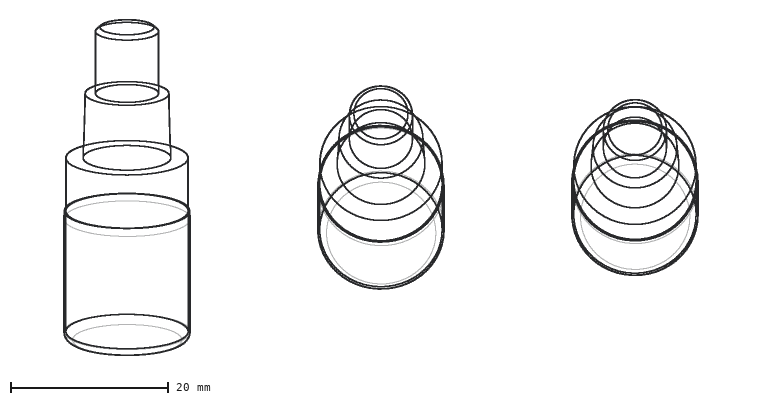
import cadquery as cq

total_height = 41.25
stud_bottom = 32.5
taper_bottom = 24.0
cap_height = 17.0

stud_radius = 4.0
taper_top_radius = 5.32
taper_bottom_radius = 5.55
core_radius = 7.75
stud_chamfer_height = 0.55
stud_chamfer_width = 0.58

cap_radius = 8.0
cap_edge_radius = 1.07
cap_floor = cap_edge_radius
rim_taper_height = 1.0
rim_taper_width = 0.06


def revolve_profile(points):
    """Revolve a closed (radius, height) outline about the Z axis."""
    return cq.Workplane("XZ").polyline(points).close().revolve(360, (0, 0), (0, 1))


def make_core():
    """Stepped core: cylinder, tapered shoulder and chamfered stud."""
    return revolve_profile([
        (0, cap_floor),
        (core_radius, cap_floor),
        (core_radius, taper_bottom),
        (taper_bottom_radius, taper_bottom),
        (taper_top_radius, stud_bottom),
        (stud_radius, stud_bottom),
        (stud_radius, total_height - stud_chamfer_height),
        (stud_radius - stud_chamfer_width, total_height),
        (0, total_height),
    ])


def make_cap():
    """Round cup that the core sits in, with a rounded base and a tapered rim."""
    cup = revolve_profile([
        (0, 0),
        (cap_radius, 0),
        (cap_radius, cap_height - rim_taper_height),
        (cap_radius - rim_taper_width, cap_height),
        (core_radius, cap_height),
        (core_radius, cap_floor),
        (0, cap_floor),
    ])
    return cup.faces("<Z").edges().fillet(cap_edge_radius)


core = make_core()
cap = make_cap()

result = cq.Compound.makeCompound([core.val(), cap.val()])